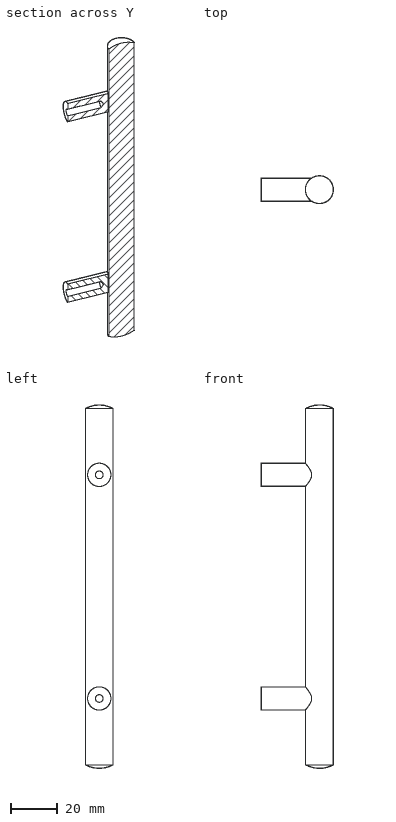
import cadquery as cq
import math

bar_length = 156.0
bar_diameter = 12.0
dome_height = 1.5

overall_depth = 31.0
post_diameter = 10.0
post_spacing = 96.0

hole_diameter = 3.3
hole_depth = 15.6
drill_point_angle = 118.0

bar_radius = bar_diameter / 2
hole_radius = hole_diameter / 2
half_length = bar_length / 2
shoulder_z = half_length - dome_height
mounting_x = bar_radius - overall_depth
drill_point_length = hole_radius / math.tan(math.radians(drill_point_angle / 2))

dome_radius = (bar_radius**2 + dome_height**2) / (2 * dome_height)
dome_half_angle = math.asin(bar_radius / dome_radius) / 2
dome_mid_x = dome_radius * math.sin(dome_half_angle)
dome_mid_z = half_length - dome_radius * (1 - math.cos(dome_half_angle))


def make_bar():
    """Revolve the half outline of the domed rod about the Z axis."""
    return (
        cq.Workplane("XZ")
        .moveTo(0, -half_length)
        .threePointArc((dome_mid_x, -dome_mid_z), (bar_radius, -shoulder_z))
        .lineTo(bar_radius, shoulder_z)
        .threePointArc((dome_mid_x, dome_mid_z), (0, half_length))
        .close()
        .revolve(360, (0, 0, 0), (0, 1, 0))
    )


def make_screw_hole():
    """Drill shape along X at z = 0, starting on the mounting plane."""
    hole_end_x = mounting_x + hole_depth
    return (
        cq.Workplane("XZ")
        .moveTo(mounting_x, 0)
        .lineTo(mounting_x, hole_radius)
        .lineTo(hole_end_x, hole_radius)
        .lineTo(hole_end_x + drill_point_length, 0)
        .close()
        .revolve(360, (0, 0, 0), (1, 0, 0))
    )


def make_post(center_z, bar):
    """Post whose inner end is saddle-cut to sit against the bar."""
    return (
        cq.Workplane("YZ")
        .workplane(offset=mounting_x)
        .circle(post_diameter / 2)
        .extrude(-mounting_x)
        .cut(make_screw_hole())
        .translate((0, 0, center_z))
        .cut(bar)
    )


bar = make_bar()
posts = []
for side in (-1, 1):
    posts.append(make_post(side * post_spacing / 2, bar).solids().val())

result = cq.Compound.makeCompound([bar.solids().val(), *posts])